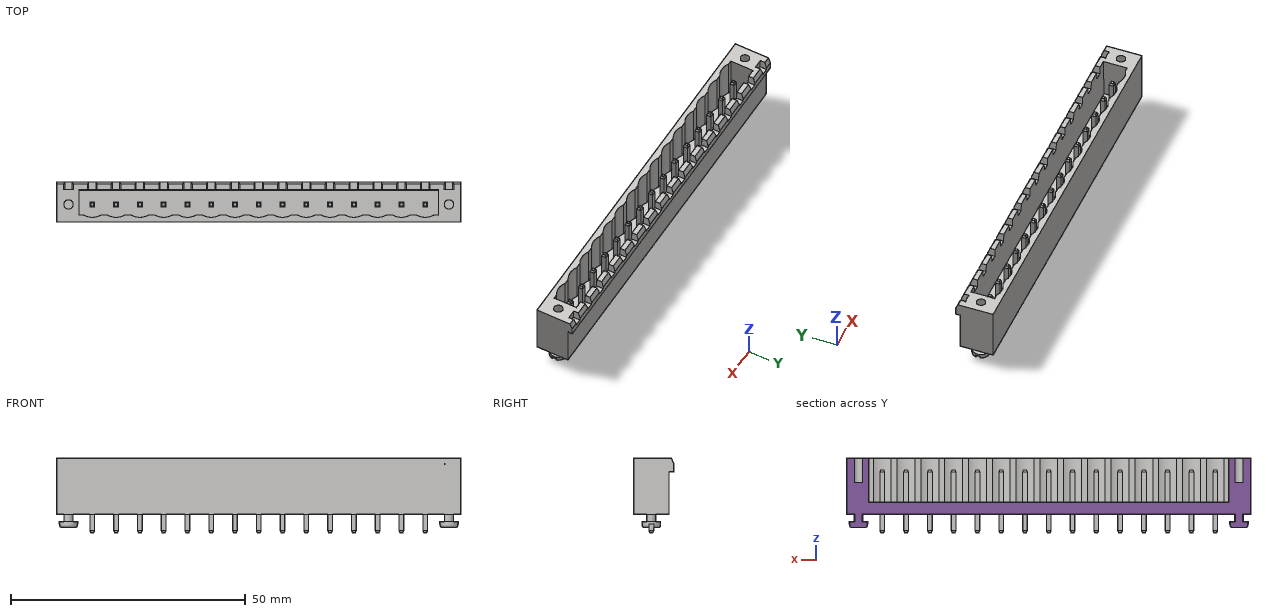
import cadquery as cq

LENGTH = 86.4
BODY_DEPTH = 7.6
TOTAL_DEPTH = 8.6
BODY_HEIGHT = 12.0
TOTAL_HEIGHT = 16.0

LIP_HEIGHT = 2.9
LIP_CHAMFER_DEPTH = 0.5
LIP_CHAMFER_HEIGHT = 1.3

PIN_COUNT = 15
PIN_ROW_LENGTH = 71.1
PIN_PITCH = PIN_ROW_LENGTH / (PIN_COUNT - 1)
ROW_Y = BODY_DEPTH / 2
PIN_X = [-PIN_ROW_LENGTH / 2 + i * PIN_PITCH for i in range(PIN_COUNT)]

END_BLOCK = 4.75
BACK_WALL_TOP = 1.6
BACK_WALL_BASE = 1.8
FRONT_WALL = 1.55
FLOOR = 2.6
CAVITY_LENGTH = LENGTH - 2 * END_BLOCK
CAVITY_BACK_Y = TOTAL_DEPTH - BACK_WALL_BASE
SCALLOP_WIDTH = 3.8
SCALLOP_DEPTH = 0.5

PIN_WIDTH = 1.0
PIN_TIP_WIDTH = 0.6
PIN_TIP_LENGTH = 0.5
PIN_TAIL = TOTAL_HEIGHT - BODY_HEIGHT
PIN_TOP_Z = 9.5

NOTCH_TOP_WIDTH = 2.1
NOTCH_FLOOR_WIDTH = 1.55
NOTCH_HEIGHT = 1.7

SCREW_X = PIN_ROW_LENGTH / 2 + PIN_PITCH
SCREW_DIAMETER = 2.0
HEAD_DIAMETER = 4.0
STEM_LENGTH = 1.55
HEAD_HEIGHT = 1.3
HEAD_FILLET = 0.5
SCREW_SLOT_WIDTH = 1.0
SCREW_SLOT_DEPTH = 0.8
HOLE_DEPTH = 5.2


def make_housing():
    """Extrude the side profile, with its chamfered lip, along X."""
    return (
        cq.Workplane("YZ")
        .moveTo(0, 0)
        .lineTo(BODY_DEPTH, 0)
        .lineTo(BODY_DEPTH, BODY_HEIGHT - LIP_HEIGHT)
        .lineTo(TOTAL_DEPTH, BODY_HEIGHT - LIP_HEIGHT)
        .lineTo(TOTAL_DEPTH, BODY_HEIGHT - LIP_CHAMFER_HEIGHT)
        .lineTo(TOTAL_DEPTH - LIP_CHAMFER_DEPTH, BODY_HEIGHT)
        .lineTo(0, BODY_HEIGHT)
        .close()
        .extrude(LENGTH / 2, both=True)
    )


def make_cavity():
    """Pocket whose front wall has a shallow arc in front of each pin."""
    outline = cq.Workplane("XY").workplane(offset=FLOOR)
    outline = outline.moveTo(-CAVITY_LENGTH / 2, CAVITY_BACK_Y).lineTo(-CAVITY_LENGTH / 2, FRONT_WALL)
    for x in PIN_X:
        outline = outline.lineTo(x - SCALLOP_WIDTH / 2, FRONT_WALL)
        outline = outline.threePointArc(
            (x, FRONT_WALL - SCALLOP_DEPTH),
            (x + SCALLOP_WIDTH / 2, FRONT_WALL),
        )
    outline = outline.lineTo(CAVITY_LENGTH / 2, FRONT_WALL).lineTo(CAVITY_LENGTH / 2, CAVITY_BACK_Y)
    return outline.close().extrude(BODY_HEIGHT - FLOOR)


def make_back_wall_draft():
    """Wedge that thins the back wall from the cavity floor up to its top."""
    return (
        cq.Workplane("YZ")
        .moveTo(CAVITY_BACK_Y, FLOOR)
        .lineTo(TOTAL_DEPTH - BACK_WALL_TOP, BODY_HEIGHT)
        .lineTo(CAVITY_BACK_Y, BODY_HEIGHT)
        .close()
        .extrude(CAVITY_LENGTH / 2, both=True)
    )


def make_notch(x, depth):
    """Tapered slot cut down from the top and in from the back of the lip."""
    floor_z = BODY_HEIGHT - NOTCH_HEIGHT
    return (
        cq.Workplane("XZ", origin=(x, TOTAL_DEPTH, 0))
        .moveTo(-NOTCH_FLOOR_WIDTH / 2, floor_z)
        .lineTo(NOTCH_FLOOR_WIDTH / 2, floor_z)
        .lineTo(NOTCH_TOP_WIDTH / 2, BODY_HEIGHT)
        .lineTo(-NOTCH_TOP_WIDTH / 2, BODY_HEIGHT)
        .close()
        .extrude(depth)
    )


def make_pin_tip(x, z, direction):
    """Square frustum narrowing away from the pin shank."""
    return (
        cq.Workplane("XY", origin=(x, ROW_Y, z))
        .rect(PIN_WIDTH, PIN_WIDTH)
        .workplane(offset=direction * PIN_TIP_LENGTH)
        .rect(PIN_TIP_WIDTH, PIN_TIP_WIDTH)
        .loft(combine=True)
    )


def make_pin(x):
    """Contact pin running from the solder tail up into the cavity."""
    shank_bottom = PIN_TIP_LENGTH - PIN_TAIL
    shank_top = PIN_TOP_Z - PIN_TIP_LENGTH
    shank = (
        cq.Workplane("XY", origin=(x, ROW_Y, shank_bottom))
        .rect(PIN_WIDTH, PIN_WIDTH)
        .extrude(shank_top - shank_bottom)
    )
    return shank.union(make_pin_tip(x, shank_bottom, -1)).union(make_pin_tip(x, shank_top, 1))


def make_screw(x):
    """Screw stem below the housing, ending in a slotted round head."""
    stem = cq.Workplane("XY", origin=(x, ROW_Y, 0)).circle(SCREW_DIAMETER / 2).extrude(-STEM_LENGTH)
    head = (
        cq.Workplane("XY", origin=(x, ROW_Y, -STEM_LENGTH))
        .circle(HEAD_DIAMETER / 2)
        .extrude(-HEAD_HEIGHT)
        .faces("<Z")
        .edges()
        .fillet(HEAD_FILLET)
    )
    slot = (
        cq.Workplane("XY", origin=(x, ROW_Y, -STEM_LENGTH - HEAD_HEIGHT))
        .rect(HEAD_DIAMETER, SCREW_SLOT_WIDTH)
        .extrude(SCREW_SLOT_DEPTH)
    )
    return stem.union(head.cut(slot))


def make_screw_hole(x):
    """Blind hole in the top of an end block."""
    return (
        cq.Workplane("XY", origin=(x, ROW_Y, BODY_HEIGHT))
        .circle(SCREW_DIAMETER / 2)
        .extrude(-HOLE_DEPTH)
    )


result = make_housing().cut(make_cavity()).cut(make_back_wall_draft())

for pin_x in PIN_X:
    result = result.cut(make_notch(pin_x, BACK_WALL_BASE))
    result = result.union(make_pin(pin_x))

for screw_x in (-SCREW_X, SCREW_X):
    result = result.cut(make_notch(screw_x, BACK_WALL_TOP))
    result = result.cut(make_screw_hole(screw_x))
    result = result.union(make_screw(screw_x))